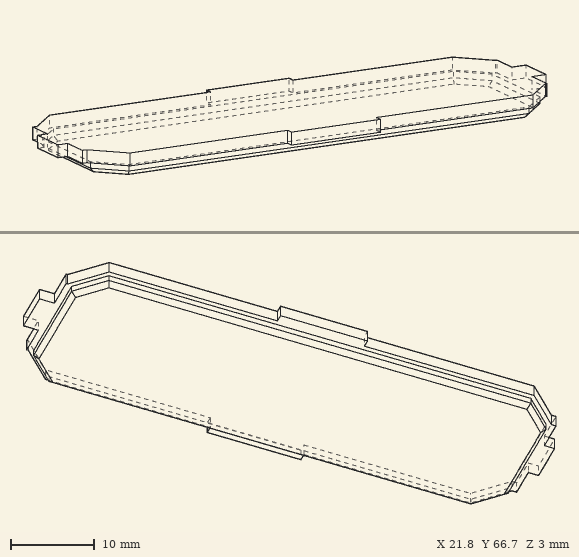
import cadquery as cq

length = 66.7
width = 21.8
height = 3.0

plate_thickness = 1.6
body_width = 19.9
corner_cut = 3.8
end_tab_width = 5.0
back_tab_reach = 1.95
front_tab_reach = 1.35
left_tab_length = 11.3
right_tab_length = 12.15

back_shoulder = 0.2
front_shoulder = 0.6

pad_inset = 0.6
pad_corner_cut = 3.4
pad_bevel = 0.6

half_width = width / 2
half_body = body_width / 2
plate_back = length / 2 - back_tab_reach
plate_front = front_tab_reach - length / 2
half_flat = half_body - corner_cut
pad_height = height - plate_thickness
cut_back = plate_back - back_shoulder
cut_front = plate_front + front_shoulder
cut_length = cut_back - cut_front
cut_center = (cut_back + cut_front) / 2


def block(x_min, x_max, y_min, y_max):
    """Rectangular piece of the upper plate, from its underside to the top."""
    size_x = x_max - x_min
    size_y = y_max - y_min
    return (
        cq.Workplane("XY")
        .box(size_x, size_y, plate_thickness, centered=False)
        .translate((x_min, y_min, pad_height))
    )


def make_plate():
    """Plate with cut corners, end shoulders and a tab on each of its four sides."""
    half_tab = end_tab_width / 2
    plate = (
        cq.Workplane("XY")
        .box(body_width, cut_length, plate_thickness, centered=(True, True, False))
        .edges("|Z")
        .chamfer(corner_cut)
        .translate((0, cut_center, pad_height))
    )
    plate = plate.union(block(-half_flat, half_flat, plate_front, plate_back))
    plate = plate.union(block(-half_tab, half_tab, -length / 2, length / 2))
    plate = plate.union(block(-half_width, 0, -left_tab_length / 2, left_tab_length / 2))
    return plate.union(block(0, half_width, -right_tab_length / 2, right_tab_length / 2))


def make_pad():
    """Inset pad with cut corners and a bevel around its bottom face."""
    return (
        cq.Workplane("XY")
        .box(
            body_width - 2 * pad_inset,
            cut_length - 2 * pad_inset,
            pad_height,
            centered=(True, True, False),
        )
        .edges("|Z")
        .chamfer(pad_corner_cut)
        .faces("<Z")
        .chamfer(pad_bevel)
        .translate((0, cut_center, 0))
    )


result = make_plate().union(make_pad())